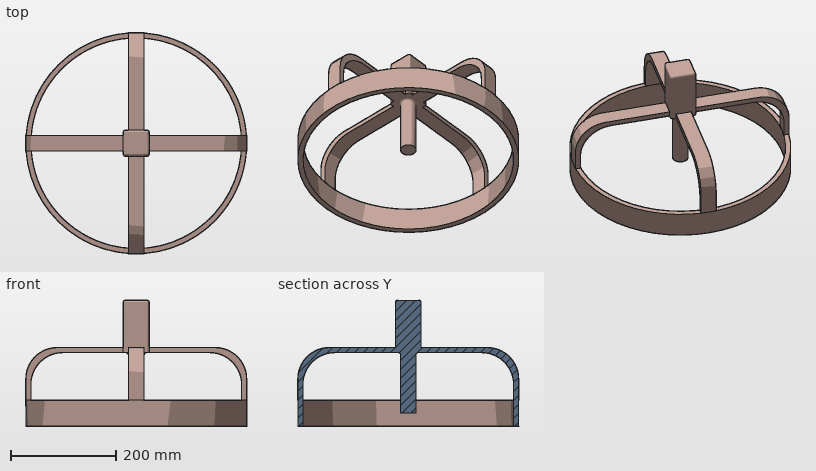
import cadquery as cq

ring_diameter = 420.0
ring_radius = ring_diameter / 2
ring_height = 50.0
wall = 10.0

arm_width = 30.0
arm_top = 150.0
bend_radius = 60.0

total_height = 240.0
head_side = 50.0
head_bottom = arm_top - wall
head_rounding = 5.0
post_diameter = arm_width
post_bottom = 25.0
post_root_fillet = 5.0


def make_ring():
    return (
        cq.Workplane("XY")
        .circle(ring_radius)
        .circle(ring_radius - wall)
        .extrude(ring_height)
    )


def make_arch():
    """A pair of opposite arms: one bent bar spanning the ring along X."""
    inner_radius = ring_radius - wall
    outer = (
        cq.Workplane("XZ")
        .rect(2 * ring_radius, 2 * arm_top)
        .extrude(arm_width / 2, both=True)
        .edges("|Y and >Z")
        .fillet(bend_radius)
    )
    inner = (
        cq.Workplane("XZ")
        .rect(2 * inner_radius, 2 * (arm_top - wall))
        .extrude(arm_width, both=True)
        .edges("|Y and >Z")
        .fillet(bend_radius)
    )
    above_rim = (
        cq.Workplane("XY")
        .workplane(offset=ring_height)
        .rect(ring_diameter, ring_diameter)
        .extrude(arm_top - ring_height)
    )
    return outer.cut(inner).intersect(above_rim)


def make_head():
    return (
        cq.Workplane("XY")
        .workplane(offset=head_bottom)
        .rect(head_side, head_side)
        .extrude(total_height - head_bottom)
        .edges("|Z or >Z")
        .fillet(head_rounding)
    )


def make_post():
    """Profile turned about Z: a plain shaft flaring out where it meets the head."""
    radius = post_diameter / 2
    return (
        cq.Workplane("XZ")
        .moveTo(0, post_bottom)
        .lineTo(radius, post_bottom)
        .lineTo(radius, head_bottom - post_root_fillet)
        .radiusArc((radius + post_root_fillet, head_bottom), post_root_fillet)
        .lineTo(0, head_bottom)
        .close()
        .revolve(360, (0, 0, 0), (0, 1, 0))
    )


arch_x = make_arch()
arch_y = arch_x.rotate((0, 0, 0), (0, 0, 1), 90)
result = make_ring().union(arch_x).union(arch_y).union(make_head()).union(make_post())